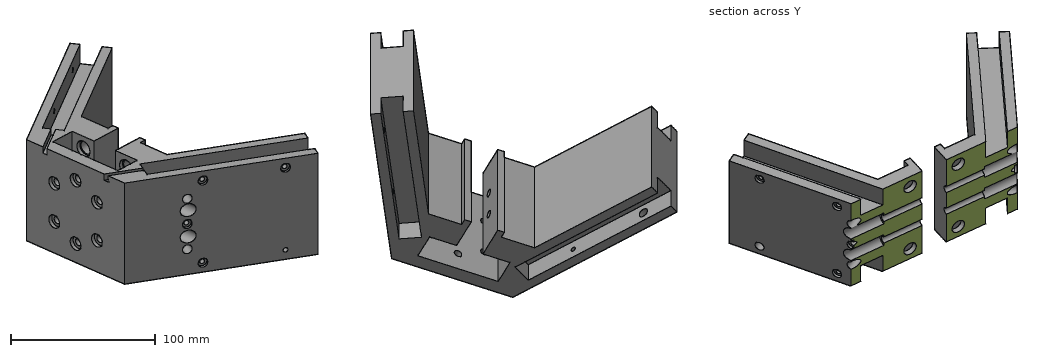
import cadquery as cq
import math

width = 232.2
depth = 136.5
height = 80.0

leg_angle = 60.0
leg_thickness = 30.0
front_wall = 10.0

cavity_half_width = 30.5
cavity_back = 30.0
opening_half_width = 10.0
lug_back = 50.0
tab_back = 55.0
tab_width = 5.0

slot_width = 15.5
slot_depth = 15.3
slot_length = 122.0
groove_width = 3.3
groove_depth = 4.9
overrun = 2.3

bolt_diameter = 5.5
bolt_head_diameter = 10.0
bolt_head_depth = 3.0
plate_bolt_x = 20.0
plate_bolt_z = 15.0
seam_bolt_z = 25.0
lug_pocket_diameter = 12.0
lug_pocket_depth = 3.0
lug_pocket_z = 30.2
lug_hole_diameter = 10.0
lug_hole_depth = 14.0
lug_bolt_mid_z = 0.5
lug_bolt_offset_z = 10.5
lug_bolt_y = (cavity_back + lug_back) / 2
lug_bolt_seat_x = 41.8

screw_diameter = 3.5
screw_head_diameter = 7.0
screw_head_depth = 2.0
screw_depth = 14.0
near_screw = 56.9
far_screw = 116.8
slot_screw_z = 32.5
pin_row = 45.5
pin_z = 20.0
pin_depth = 20.0
pin_diameter = 7.0

cos_leg = math.cos(math.radians(leg_angle))
sin_leg = math.sin(math.radians(leg_angle))
leg_length = (depth - leg_thickness * cos_leg) / sin_leg
corner_x = width / 2 - leg_length * cos_leg
slot_start = leg_length - slot_length


def leg_point(along, inward):
    """XY point at a distance along the outer leg face and a depth into the leg."""
    return (
        corner_x + along * cos_leg - inward * sin_leg,
        along * sin_leg + inward * cos_leg,
    )


def leg_bar(start, end, bar_width, z_low, z_high):
    """Bar along the leg, centred in the leg thickness."""
    near = (leg_thickness - bar_width) / 2
    far = near + bar_width
    corners = [
        leg_point(start, near),
        leg_point(end, near),
        leg_point(end, far),
        leg_point(start, far),
    ]
    return cq.Workplane("XY").workplane(offset=z_low).polyline(corners).close().extrude(z_high - z_low)


def cylinder(diameter, length, start, direction):
    solid = cq.Solid.makeCylinder(diameter / 2, length, cq.Vector(*start), cq.Vector(*direction))
    return cq.Workplane(solid)


def leg_hole(diameter, length, along, z):
    """Blind hole square to the outer leg face."""
    return cylinder(diameter, length, (*leg_point(along, 0), z), (-sin_leg, cos_leg, 0))


def body_half():
    lug_corner_x = corner_x + (lug_back * cos_leg - leg_thickness) / sin_leg
    outline = [
        (0, 0),
        (corner_x, 0),
        leg_point(leg_length, 0),
        leg_point(leg_length, leg_thickness),
        (lug_corner_x, lug_back),
        (opening_half_width + tab_width, lug_back),
        (opening_half_width + tab_width, tab_back),
        (opening_half_width, tab_back),
        (opening_half_width, cavity_back),
        (cavity_half_width, cavity_back),
        (cavity_half_width, front_wall),
        (0, front_wall),
    ]
    return cq.Workplane("XY").polyline(outline).close().extrude(height / 2, both=True)


def cut_slots(body):
    top = height / 2
    slot_end = leg_length + overrun
    body = body.cut(leg_bar(slot_start, slot_end, slot_width, top - slot_depth, top))
    body = body.cut(leg_bar(slot_start, slot_end, slot_width, -top, slot_depth - top))
    return body.cut(leg_bar(-leg_thickness, slot_start + overrun, groove_width, top - groove_depth, top))


def cut_front_bolts(body):
    places = [(plate_bolt_x, z) for z in (-plate_bolt_z, plate_bolt_z)]
    places += [(0, z) for z in (-seam_bolt_z, seam_bolt_z)]
    for x, z in places:
        body = body.cut(cylinder(bolt_diameter, front_wall, (x, 0, z), (0, 1, 0)))
        body = body.cut(cylinder(bolt_head_diameter, bolt_head_depth, (x, 0, z), (0, 1, 0)))
    for z in (-lug_pocket_z, lug_pocket_z):
        start = (plate_bolt_x, cavity_back, z)
        body = body.cut(cylinder(lug_pocket_diameter, lug_pocket_depth, start, (0, 1, 0)))
        body = body.cut(cylinder(lug_hole_diameter, lug_hole_depth, start, (0, 1, 0)))
    return body


def cut_lug_bolts(body):
    for z in (lug_bolt_mid_z - lug_bolt_offset_z, lug_bolt_mid_z + lug_bolt_offset_z):
        body = body.cut(cylinder(bolt_diameter, width / 2, (0, lug_bolt_y, z), (1, 0, 0)))
        start = (lug_bolt_seat_x, lug_bolt_y, z)
        body = body.cut(cylinder(bolt_head_diameter, width / 2, start, (1, 0, 0)))
    return body


def cut_leg_holes(body):
    screws = [
        (near_screw, slot_screw_z),
        (near_screw, -slot_screw_z),
        (far_screw, slot_screw_z),
        (pin_row, 0),
    ]
    for along, z in screws:
        body = body.cut(leg_hole(screw_diameter, screw_depth, along, z))
        body = body.cut(leg_hole(screw_head_diameter, screw_head_depth, along, z))
    for z in (-pin_z, pin_z):
        body = body.cut(leg_hole(pin_diameter, pin_depth, pin_row, z))
    return body


def cut_far_bottom_hole(body, diameter):
    """Plain hole through the outer wall of the bottom slot; its size differs between the legs."""
    return body.cut(leg_hole(diameter, screw_depth, far_screw, -slot_screw_z))


half = cut_leg_holes(cut_lug_bolts(cut_front_bolts(cut_slots(body_half()))))
right_half = cut_far_bottom_hole(half, screw_diameter)
left_half = cut_far_bottom_hole(half, screw_head_diameter).mirror("YZ")

result = right_half.union(left_half, clean=False)